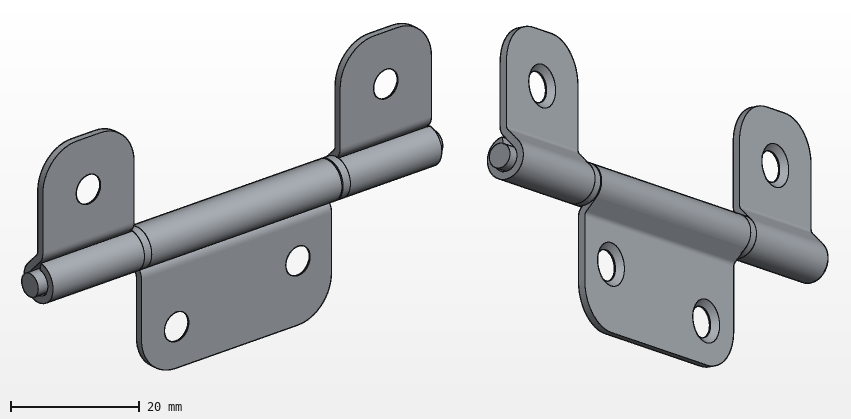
import cadquery as cq
import math


pin_length = 83.0
pin_diameter = 4.0
barrel_diameter = 7.0

sheet = 1.25
plate_face_x = -0.21
bend_radius = 1.0
bend_angle = 45.0
curl_gap_angle = 10.0
leaf_reach = 22.4
corner_radius = 7.0

hole_diameter = 5.0
countersink_diameter = 7.0
countersink_angle = 90.0

center_leaf_width = 39.0
side_leaf_width = 18.75
spacer_length = 1.5
spacer_clearance = 0.25
center_leaf_end = center_leaf_width / 2

side_hole_z = 13.45
center_leaf_holes = [(12.6, -11.45), (-12.3, -15.35)]


def polar(radius, angle):
    """Point at an angle from +X in the XZ plane, about the pin axis."""
    a = math.radians(angle)
    return (radius * math.cos(a), radius * math.sin(a))


def about(center, radius, angle):
    dx, dz = polar(radius, angle)
    return (center[0] + dx, center[1] + dz)


def leaf_profile():
    """Section of a leaf whose plate rises in +Z from its curled barrel."""
    outer = barrel_diameter / 2
    inner = outer - sheet
    tangent_angle = 90 + bend_angle
    end_angle = 90 - curl_gap_angle
    opposite_angle = (tangent_angle + end_angle + 360) / 2

    bend_x = plate_face_x - bend_radius
    slope = math.radians(bend_angle)
    bend_z = (outer + bend_radius + bend_x * math.sin(slope)) / math.cos(slope)
    bend_center = (bend_x, bend_z)
    far_radius = bend_radius + sheet
    strip_angle = -bend_angle

    return (
        cq.Workplane("XZ")
        .moveTo(*polar(outer, end_angle))
        .threePointArc(polar(outer, opposite_angle), polar(outer, tangent_angle))
        .lineTo(*about(bend_center, bend_radius, strip_angle))
        .threePointArc(about(bend_center, bend_radius, strip_angle / 2), about(bend_center, bend_radius, 0))
        .lineTo(plate_face_x, leaf_reach)
        .lineTo(plate_face_x + sheet, leaf_reach)
        .lineTo(*about(bend_center, far_radius, 0))
        .threePointArc(about(bend_center, far_radius, strip_angle / 2), about(bend_center, far_radius, strip_angle))
        .lineTo(*polar(inner, tangent_angle))
        .threePointArc(polar(inner, opposite_angle), polar(inner, end_angle))
        .close()
    )


def make_leaf(y_center, width, direction, holes):
    """Leaf whose plate points up (direction 1) or down (direction -1)."""
    leaf = leaf_profile().extrude(width / 2, both=True).edges("|X and >Z").fillet(corner_radius)
    if direction < 0:
        leaf = leaf.mirror("XY")
    leaf = leaf.translate((0, y_center, 0))
    hole_plane = cq.Plane(origin=(plate_face_x, 0, 0), xDir=(0, -1, 0), normal=(-1, 0, 0))
    return (
        leaf.copyWorkplane(cq.Workplane(hole_plane))
        .pushPoints([(-y, z) for y, z in holes])
        .cskHole(hole_diameter, countersink_diameter, countersink_angle)
    )


def cylinder_along_y(diameter, y_start, length):
    plane = cq.Plane(origin=(0, y_start, 0), xDir=(1, 0, 0), normal=(0, 1, 0))
    return cq.Workplane(plane).circle(diameter / 2).extrude(length)


def make_pin():
    return cylinder_along_y(pin_diameter, -pin_length / 2, pin_length)


def make_spacer(y_start):
    bore = cylinder_along_y(pin_diameter, y_start, spacer_length)
    return cylinder_along_y(barrel_diameter, y_start, spacer_length).cut(bore)


pin = make_pin()
center_leaf = make_leaf(0, center_leaf_width, -1, center_leaf_holes)

spacers = []
side_leaves = []
for side, clearance in ((1, spacer_clearance), (-1, 0)):
    spacer_inner_end = center_leaf_end + clearance
    spacer_center = side * (spacer_inner_end + spacer_length / 2)
    spacers.append(make_spacer(spacer_center - spacer_length / 2))

    leaf_center = side * (spacer_inner_end + spacer_length + side_leaf_width / 2)
    side_leaves.append(make_leaf(leaf_center, side_leaf_width, 1, [(leaf_center, side_hole_z)]))

result = cq.Compound.makeCompound(
    [pin.val(), center_leaf.val()]
    + [spacer.val() for spacer in spacers]
    + [leaf.val() for leaf in side_leaves]
)